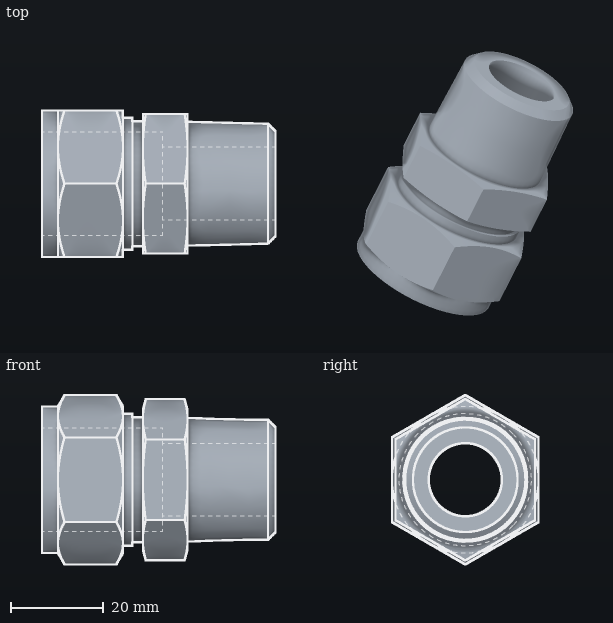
import cadquery as cq
import math


total_length = 50.55

nut_start = 3.5
nut_end = 17.55
shoulder_end = 19.55
body_hex_start = 21.85
body_hex_end = 31.5
thread_start = 32.3
end_chamfer = 1.65
thread_end = total_length - end_chamfer

nut_across_flats = 31.75
body_across_flats = 30.2
collar_radius = nut_across_flats / 2
shoulder_radius = 14.3
neck_radius = 13.55
thread_start_radius = 13.4
thread_end_radius = 13.0
pipe_end_radius = thread_end_radius - end_chamfer

hexagon_half_angle = 180 / 6

nut_chamfer_angle = 30
body_chamfer_angle = 15

bore_radius = 7.9
socket_radius = 11.15
socket_depth = 26.05


def cylinder(start, end, radius):
    """Solid cylinder on the X axis between two stations."""
    return cq.Workplane("YZ", origin=(start, 0, 0)).circle(radius).extrude(end - start)


def revolve_profile(points):
    """Solid of revolution about the X axis from (station, radius) points."""
    return cq.Workplane("XY").polyline(points).close().revolve(360, (0, 0, 0), (1, 0, 0))


def chamfered_hexagon(start, end, across_flats, chamfer_angle):
    """Hexagon with corners on +Z and -Z, its corners cut by a cone at both ends."""
    flat_radius = across_flats / 2
    corner_radius = flat_radius / math.cos(math.radians(hexagon_half_angle))
    setback = (corner_radius - flat_radius) * math.tan(math.radians(chamfer_angle))
    prism = (
        cq.Workplane("YZ", origin=(start, 0, 0))
        .polygon(6, 2 * corner_radius)
        .extrude(end - start)
        .rotate((0, 0, 0), (1, 0, 0), hexagon_half_angle)
    )
    envelope = revolve_profile([
        (start, 0),
        (start, flat_radius),
        (start + setback, corner_radius),
        (end - setback, corner_radius),
        (end, flat_radius),
        (end, 0),
    ])
    return prism.intersect(envelope)


collar = cylinder(0, nut_start, collar_radius)
nut = chamfered_hexagon(nut_start, nut_end, nut_across_flats, nut_chamfer_angle)

shoulder = cylinder(nut_end, shoulder_end, shoulder_radius)
neck = cylinder(shoulder_end, body_hex_start, neck_radius)
body_hexagon = chamfered_hexagon(body_hex_start, body_hex_end, body_across_flats, body_chamfer_angle)
pipe_end = revolve_profile([
    (body_hex_end, 0),
    (body_hex_end, thread_start_radius),
    (thread_start, thread_start_radius),
    (thread_end, thread_end_radius),
    (total_length, pipe_end_radius),
    (total_length, 0),
])

result = collar
for section in (nut, shoulder, neck, body_hexagon, pipe_end):
    result = result.union(section)

result = result.cut(cylinder(0, total_length, bore_radius))
result = result.cut(cylinder(0, socket_depth, socket_radius))